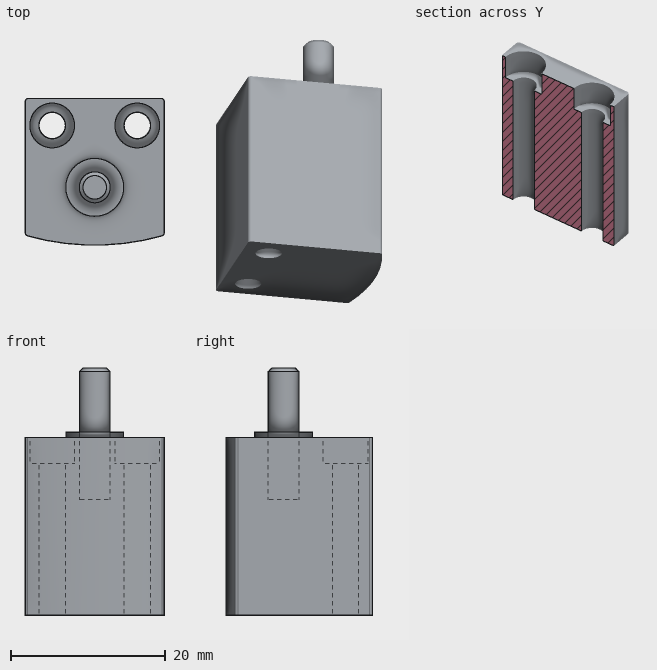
import cadquery as cq

TOTAL_HEIGHT = 32.0
HOUSING_WIDTH = 18.0
HOUSING_HEIGHT = 23.0

BACK_Y = 11.52
FRONT_Y = -7.5
FRONT_CORNER_Y = -6.2
CORNER_RADIUS = 0.85 / 2

COLLAR_DIAMETER = 7.5
COLLAR_HEIGHT = 0.7

SHAFT_DIAMETER = 4.0
SHAFT_CHAMFER = 0.48
SEAT_DEPTH = 2 * SHAFT_DIAMETER
SHAFT_BASE_Z = HOUSING_HEIGHT - SEAT_DEPTH

HOLE_DIAMETER = 3.4
COUNTERBORE_DIAMETER = 5.8
COUNTERBORE_DEPTH = 3.4
HOLE_SPACING = 11.0
HOLE_Y = 8.0


def make_housing():
    """Block with a bowed front, a collar, two mounting holes and a shaft seat."""
    half_width = HOUSING_WIDTH / 2
    block = (
        cq.Workplane("XY")
        .moveTo(-half_width, FRONT_CORNER_Y)
        .threePointArc((0, FRONT_Y), (half_width, FRONT_CORNER_Y))
        .lineTo(half_width, BACK_Y)
        .lineTo(-half_width, BACK_Y)
        .close()
        .extrude(HOUSING_HEIGHT)
        .edges("|Z")
        .fillet(CORNER_RADIUS)
    )
    collar = (
        cq.Workplane("XY", origin=(0, 0, HOUSING_HEIGHT))
        .circle(COLLAR_DIAMETER / 2)
        .extrude(COLLAR_HEIGHT)
    )
    hole_places = [(side * HOLE_SPACING / 2, HOLE_Y) for side in (-1, 1)]
    drilled = (
        block.faces(">Z")
        .workplane(origin=(0, 0, HOUSING_HEIGHT))
        .pushPoints(hole_places)
        .cboreHole(HOLE_DIAMETER, COUNTERBORE_DIAMETER, COUNTERBORE_DEPTH)
    )
    bore = (
        cq.Workplane("XY", origin=(0, 0, SHAFT_BASE_Z))
        .circle(SHAFT_DIAMETER / 2)
        .extrude(SEAT_DEPTH + COLLAR_HEIGHT)
    )
    return drilled.union(collar).cut(bore)


def make_shaft():
    """Plain shaft with a chamfered tip, passing through the collar into a blind bore."""
    return (
        cq.Workplane("XY", origin=(0, 0, SHAFT_BASE_Z))
        .circle(SHAFT_DIAMETER / 2)
        .extrude(TOTAL_HEIGHT - SHAFT_BASE_Z)
        .faces(">Z")
        .chamfer(SHAFT_CHAMFER)
    )


housing = make_housing()
shaft = make_shaft()

result = cq.Compound.makeCompound([housing.val(), shaft.val()])